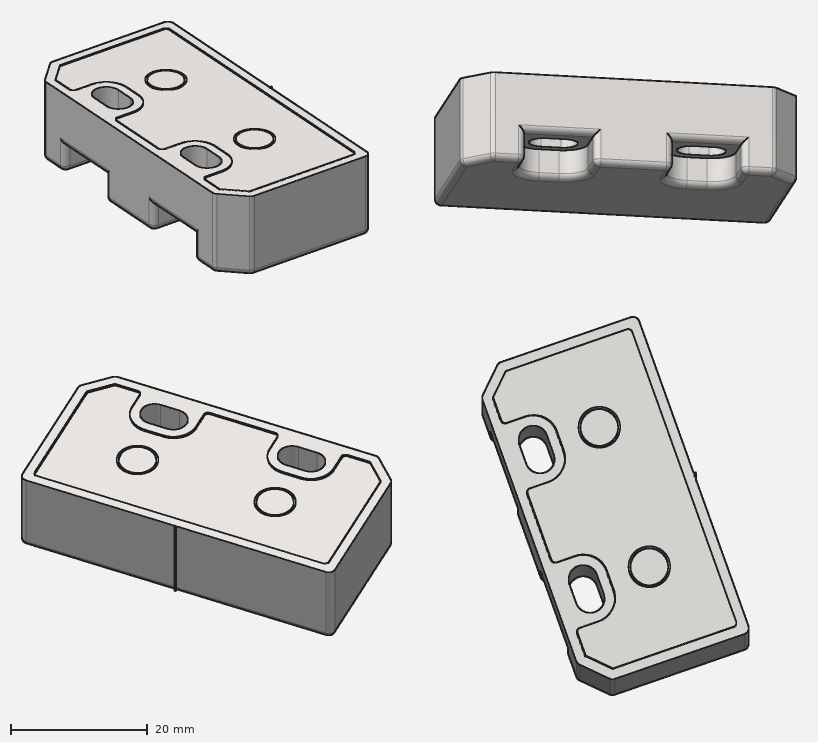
import cadquery as cq

LENGTH = 50.0
WIDTH = 25.5
HEIGHT = 13.3
FRONT_CHAMFER = 4.0
EDGE_RADIUS = 1.0
FRONT_Y = -WIDTH / 2
BACK_Y = WIDTH / 2

RIB_WIDTH = 0.2
RIB_PROTRUSION = 0.3
RIB_BOTTOM_Z = 0.5

MOUNTS_X = (-11.0, 11.0)
SLOT_SETBACK = 5.0
SLOT_Y = FRONT_Y + SLOT_SETBACK
SLOT_LENGTH = 7.25
SLOT_WIDTH = 4.25
SLOT_WALL = 1.5
U_LENGTH = SLOT_LENGTH + 2 * SLOT_WALL
U_DEPTH = SLOT_WIDTH + 2 * SLOT_WALL
POCKET_HEIGHT = 4.5

RIM = 1.5
RECESS_DEPTH = 1.5
COVER_DROP = 0.2
COVER_SHIFT = 0.1
RECESS_CORNER_RADIUS = 0.65
FLOOR_Z = HEIGHT - RECESS_DEPTH

PLUGS_X = [x - COVER_SHIFT for x in MOUNTS_X]
PLUG_Y = 2.0
PLUG_DIAMETER = 5.5
HOLE_CHAMFER = 0.3
COUNTERSINK_ANGLE = 90


def chamfered_outline(bottom_z):
    """Closed outline of the housing, with chamfered front corners, at the given height."""
    half_length = LENGTH / 2
    return (
        cq.Workplane("XY")
        .workplane(offset=bottom_z)
        .moveTo(-half_length, BACK_Y)
        .lineTo(-half_length, FRONT_Y + FRONT_CHAMFER)
        .lineTo(-half_length + FRONT_CHAMFER, FRONT_Y)
        .lineTo(half_length - FRONT_CHAMFER, FRONT_Y)
        .lineTo(half_length, FRONT_Y + FRONT_CHAMFER)
        .lineTo(half_length, BACK_Y)
        .close()
    )


def u_prism(x, bottom_z, height):
    """Prism that surrounds a mounting slot and runs straight out past the front face."""
    base = cq.Workplane("XY").workplane(offset=bottom_z)
    rounded = base.center(x, SLOT_Y).slot2D(U_LENGTH, U_DEPTH).extrude(height)
    run_out = base.center(x, FRONT_Y).rect(U_LENGTH, 2 * SLOT_SETBACK).extrude(height)
    return rounded.union(run_out)


def recess_fill(height):
    """Plate with the outline of the recess, from the recess floor up to the given height."""
    plate = (
        cq.Workplane("XY")
        .workplane(offset=FLOOR_Z)
        .rect(LENGTH - 2 * RIM, WIDTH - 2 * RIM)
        .extrude(height)
    )
    for x in MOUNTS_X:
        plate = plate.cut(u_prism(x, FLOOR_Z, height))
    plate = plate.edges("|Z and (<Y or >Y)").fillet(RECESS_CORNER_RADIUS)
    return plate.intersect(chamfered_outline(FLOOR_Z).offset2D(-RIM).extrude(height))


def make_housing():
    """Block with rounded pockets below, slots through it, a rear rib and a shallow top recess."""
    housing = chamfered_outline(0).extrude(HEIGHT).edges("|Z").fillet(EDGE_RADIUS)
    for x in MOUNTS_X:
        housing = housing.cut(u_prism(x, 0, POCKET_HEIGHT))
    bottom_edges = housing.faces("<Z").edges()
    middle_of_front = cq.selectors.BoxSelector(
        (-LENGTH / 2 + FRONT_CHAMFER + EDGE_RADIUS, FRONT_Y - EDGE_RADIUS, EDGE_RADIUS),
        (LENGTH / 2 - FRONT_CHAMFER - EDGE_RADIUS, FRONT_Y + EDGE_RADIUS, POCKET_HEIGHT + EDGE_RADIUS),
    )
    pocket_mouths = housing.edges(middle_of_front)
    housing = bottom_edges.add(pocket_mouths).fillet(EDGE_RADIUS)

    slots = cq.Workplane("XY").pushPoints([(x, SLOT_Y) for x in MOUNTS_X])
    housing = housing.cut(slots.slot2D(SLOT_LENGTH, SLOT_WIDTH).extrude(HEIGHT))
    rib = (
        cq.Workplane("XY")
        .workplane(offset=RIB_BOTTOM_Z)
        .center(0, BACK_Y)
        .rect(RIB_WIDTH, 2 * RIB_PROTRUSION)
        .extrude(HEIGHT - RIB_BOTTOM_Z)
    )
    housing = housing.union(rib)
    return housing.cut(recess_fill(RECESS_DEPTH))


def make_cover():
    """Plate in the recess, set slightly left and back, with a countersunk hole for each plug."""
    height = RECESS_DEPTH - COVER_DROP
    shifted = recess_fill(height).translate((-COVER_SHIFT, COVER_SHIFT, 0))
    cover = recess_fill(height).intersect(shifted)
    return (
        cover.faces(">Z")
        .workplane(origin=(0, 0, 0))
        .pushPoints([(x, PLUG_Y) for x in PLUGS_X])
        .cskHole(PLUG_DIAMETER, PLUG_DIAMETER + 2 * HOLE_CHAMFER, COUNTERSINK_ANGLE)
    )


def make_plug(x):
    """Round plug on the recess floor, level with the top of the cover."""
    return (
        cq.Workplane("XY")
        .workplane(offset=FLOOR_Z)
        .center(x, PLUG_Y)
        .circle(PLUG_DIAMETER / 2)
        .extrude(RECESS_DEPTH - COVER_DROP)
    )


housing = make_housing()
cover = make_cover()
plugs = [make_plug(x) for x in PLUGS_X]

result = cq.Compound.makeCompound(
    [housing.val(), cover.val(), *[plug.val() for plug in plugs]]
)